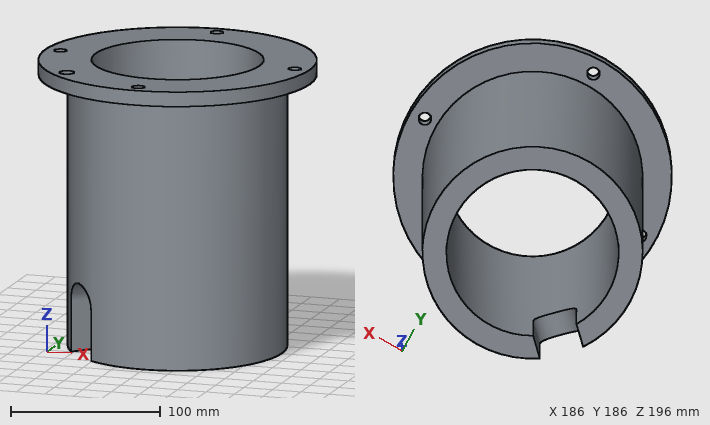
import cadquery as cq
import math

total_height = 196.0
flange_diameter = 186.0
flange_thickness = 10.0
tube_diameter = 147.0
bore_diameter = 115.0

pitch_radius = 82.5
mounting_hole_diameter = 8.5
mounting_hole_count = 4
locating_hole_diameter = 10.0

slot_width = 30.0
slot_height = 50.0
slot_direction = 225.0


def make_flanged_tube():
    """Tube standing on Z = 0 with the flange flush with its top."""
    tube = cq.Workplane("XY").circle(tube_diameter / 2).extrude(total_height)
    flange = (
        cq.Workplane("XY")
        .workplane(offset=total_height - flange_thickness)
        .circle(flange_diameter / 2)
        .extrude(flange_thickness)
    )
    bore = cq.Workplane("XY").circle(bore_diameter / 2).extrude(total_height)
    return tube.union(flange).cut(bore)


def make_flange_hole(diameter, angle):
    """Cutter for a hole through the flange at an angle on the pitch circle."""
    x = pitch_radius * math.cos(math.radians(angle))
    y = pitch_radius * math.sin(math.radians(angle))
    return (
        cq.Workplane("XY")
        .workplane(offset=total_height - flange_thickness)
        .center(x, y)
        .circle(diameter / 2)
        .extrude(flange_thickness)
    )


def make_slot():
    """Cutter reaching from the axis out through one side of the tube wall."""
    half_width = slot_width / 2
    straight_height = slot_height - half_width
    return (
        cq.Workplane("YZ")
        .moveTo(-half_width, 0)
        .lineTo(half_width, 0)
        .lineTo(half_width, straight_height)
        .threePointArc((0, slot_height), (-half_width, straight_height))
        .close()
        .extrude(tube_diameter)
        .rotate((0, 0, 0), (0, 0, 1), slot_direction)
    )


result = make_flanged_tube()
for index in range(mounting_hole_count):
    hole_angle = index * 360 / mounting_hole_count
    result = result.cut(make_flange_hole(mounting_hole_diameter, hole_angle))
result = result.cut(make_flange_hole(locating_hole_diameter, slot_direction))
result = result.cut(make_slot())